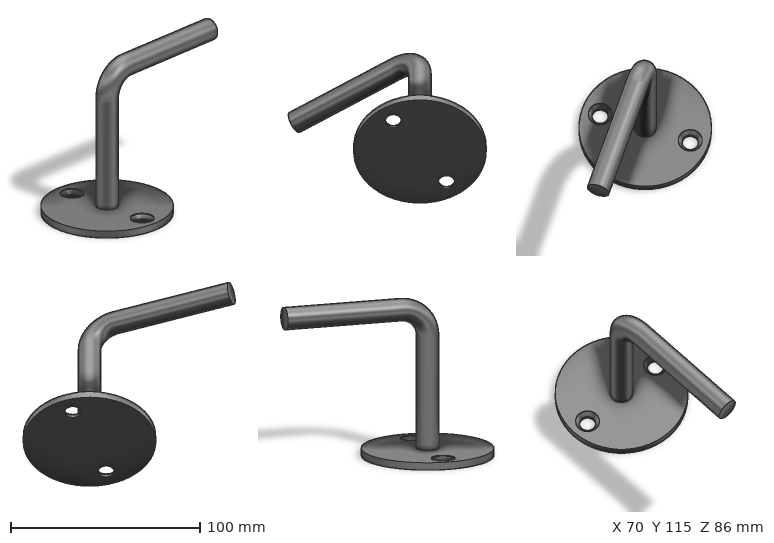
import cadquery as cq

overall_depth = 115.0
overall_height = 86.0

plate_diameter = 70.0
plate_thickness = 4.0

rod_diameter = 12.0
bend_radius = 15.0

hole_spacing = 50.0
hole_diameter = 8.5
countersink_diameter = 12.5
countersink_rim_depth = 0.5

arm_end_y = overall_depth - plate_diameter / 2
arm_axis_z = overall_height - rod_diameter / 2
bend_start_z = arm_axis_z - bend_radius


def make_screw_hole():
    """Revolved cutter along Z: through hole, cone and straight rim up to the plate's top face."""
    hole_radius = hole_diameter / 2
    rim_radius = countersink_diameter / 2
    cone_top_z = plate_thickness - countersink_rim_depth
    cone_bottom_z = cone_top_z - (rim_radius - hole_radius)
    return (
        cq.Workplane("XZ")
        .lineTo(hole_radius, 0)
        .lineTo(hole_radius, cone_bottom_z)
        .lineTo(rim_radius, cone_top_z)
        .lineTo(rim_radius, plate_thickness)
        .lineTo(0, plate_thickness)
        .close()
        .revolve(360, (0, 0), (0, 1))
    )


def make_plate():
    plate = cq.Workplane("XY").circle(plate_diameter / 2).extrude(plate_thickness)
    for side in (-1, 1):
        plate = plate.cut(make_screw_hole().translate((side * hole_spacing / 2, 0, 0)))
    return plate


def make_rod():
    centreline = (
        cq.Workplane("YZ")
        .lineTo(0, bend_start_z)
        .radiusArc((bend_radius, arm_axis_z), bend_radius)
        .lineTo(arm_end_y, arm_axis_z)
    )
    return cq.Workplane("XY").circle(rod_diameter / 2).sweep(centreline)


result = make_plate().union(make_rod())